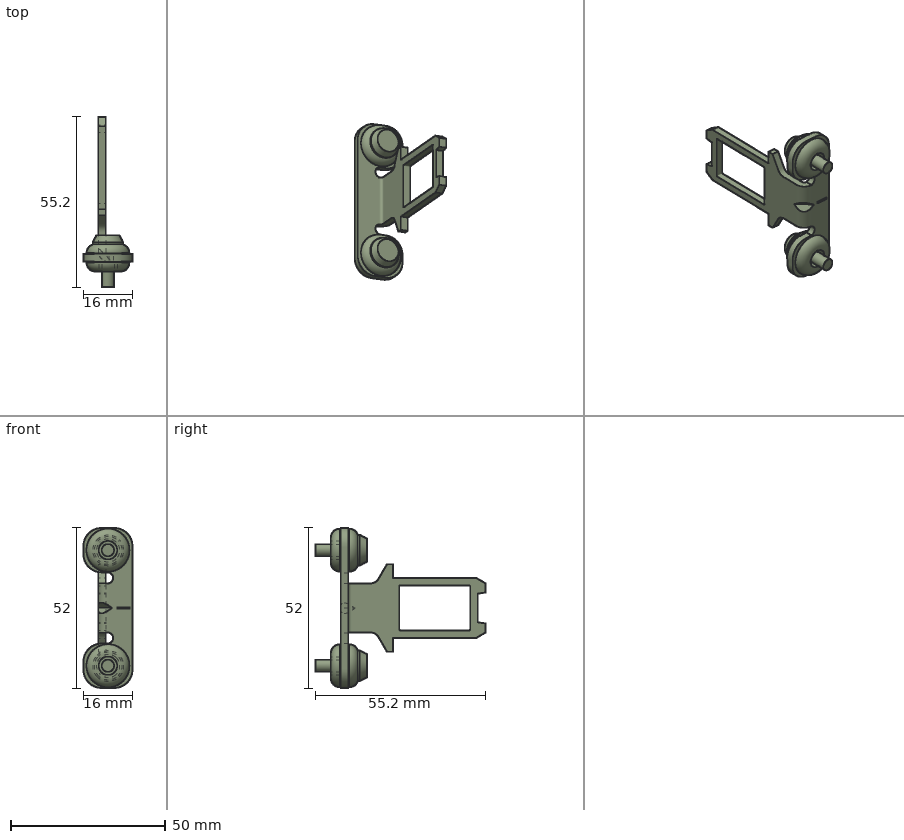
import cadquery as cq
import math

thickness = 2.5
bend_inner_radius = 1.0
bend_outer_radius = bend_inner_radius + thickness

plate_width = 16.0
plate_height = 52.0
lobe_height = 14.5
lobe_corner_radius = 6.0
lobe_z = (plate_height - lobe_height) / 2
lobe_inner_z = plate_height / 2 - lobe_height

arm_outer_x = -3.2
bend_center_x = arm_outer_x + bend_outer_radius
arm_root_half = 8.0
arm_frame_half = 9.75
shoulder_half = 14.25
shoulder_back_y = 17.0
shoulder_tip_y = 15.0
shoulder_slope = math.radians(60)
shoulder_root_y = shoulder_tip_y - (shoulder_half - arm_root_half) / math.tan(shoulder_slope)
shoulder_fillet = 3.0
arm_end_y = 47.0
end_chamfer_y = 44.0
end_chamfer_half = 8.0
end_notch_floor_y = 44.5
end_notch_mouth_half = 5.0
end_notch_floor_half = 4.6

window_start_y = 19.0
window_end_y = 42.0
window_half = 7.25
window_corner_radius = 0.3

notch_radius = (lobe_inner_z - arm_root_half) / 2
notch_reach_x = 1.65
notch_z = arm_root_half + notch_radius

groove_leg = 4.5
groove_angle = 90.0

mark_length = 4.0
mark_width = 0.5
mark_depth = 0.2
mark_center_x = 5.0

bulge_radius = 7.0
bulge_round = 3.0
grommet_gap = 0.25
neck_radius = 4.5
bulge_front_y = -grommet_gap - bulge_round
bulge_back_y = thickness + grommet_gap + bulge_round
collar_radius = 5.0
collar_length = 0.5
cone_end_radius = 3.75
cone_end_y = 8.6
bore_radius = 3.0
bore_floor_y = 0.0
pin_radius = 2.0
pin_length = 5.0
pin_tip_y = bulge_front_y - pin_length


def block(x_range, y_range, z_range):
    """Box given by its limits along each axis."""
    limits = (x_range, y_range, z_range)
    size = [high - low for low, high in limits]
    corner = tuple(low for low, high in limits)
    return cq.Workplane("XY").box(*size, centered=False).translate(corner)


def make_plate():
    """Two lobes joined by a straight web that carries the bend."""
    plate = block(
        (bend_center_x, plate_width / 2), (0, thickness), (-lobe_z, lobe_z)
    )
    for side in (-1, 1):
        lobe = (
            cq.Workplane("XY")
            .box(plate_width, thickness, lobe_height)
            .edges("|Y")
            .fillet(lobe_corner_radius)
            .translate((0, thickness / 2, side * lobe_z))
        )
        plate = plate.union(lobe)
    for side in (-1, 1):
        plate = plate.cut(make_relief_notch(side))
    return plate


def make_relief_notch(side):
    """Round-ended slot, open to the -X side."""
    center_x = notch_reach_x - notch_radius
    z = side * notch_z
    slot = block(
        (-plate_width / 2, center_x), (0, thickness), (z - notch_radius, z + notch_radius)
    )
    round_end = (
        cq.Workplane("XZ").center(center_x, z).circle(notch_radius).extrude(-thickness)
    )
    return slot.union(round_end)


def make_bend():
    """Quarter ring that turns the plate into the arm."""
    diagonal = math.sqrt(0.5)
    outer_mid = (
        bend_center_x - bend_outer_radius * diagonal,
        bend_outer_radius * (1 - diagonal),
    )
    inner_mid = (
        bend_center_x - bend_inner_radius * diagonal,
        bend_outer_radius - bend_inner_radius * diagonal,
    )
    return (
        cq.Workplane("XY")
        .workplane(offset=-arm_root_half)
        .moveTo(bend_center_x, 0)
        .threePointArc(outer_mid, (arm_outer_x, bend_outer_radius))
        .lineTo(arm_outer_x + thickness, bend_outer_radius)
        .threePointArc(inner_mid, (bend_center_x, thickness))
        .close()
        .extrude(2 * arm_root_half)
    )


def make_arm():
    """Flat arm with shoulders, a window and a notched, chamfered end."""
    upper_edge = [
        (bend_outer_radius, arm_root_half),
        (shoulder_root_y, arm_root_half),
        (shoulder_tip_y, shoulder_half),
        (shoulder_back_y, shoulder_half),
        (shoulder_back_y, arm_frame_half),
        (end_chamfer_y, arm_frame_half),
        (arm_end_y, end_chamfer_half),
        (arm_end_y, end_notch_mouth_half),
        (end_notch_floor_y, end_notch_floor_half),
    ]
    lower_edge = [(y, -z) for y, z in reversed(upper_edge)]
    arm = (
        cq.Workplane("YZ")
        .workplane(offset=arm_outer_x)
        .polyline(upper_edge + lower_edge)
        .close()
        .extrude(thickness)
    )
    arm_mid_x = arm_outer_x + thickness / 2
    for side in (-1, 1):
        root_corner = (arm_mid_x, shoulder_root_y, side * arm_root_half)
        arm = arm.edges(cq.NearestToPointSelector(root_corner)).fillet(shoulder_fillet)
    window = block(
        (arm_outer_x, arm_outer_x + thickness),
        (window_start_y, window_end_y),
        (-window_half, window_half),
    )
    return arm.cut(window.edges("|X").fillet(window_corner_radius))


def make_bend_groove():
    """V-shaped cutter whose floor runs diagonally across the outside of the bend."""
    depth = groove_leg * math.sqrt(0.5)
    half_width = depth * math.tan(math.radians(groove_angle / 2))
    length = 2 * groove_leg * math.sqrt(2)
    across_bend = cq.Plane(
        origin=(arm_outer_x, 0, 0), xDir=(1, 1, 0), normal=(1, -1, 0)
    )
    return (
        cq.Workplane(across_bend)
        .polyline([(depth, 0), (0, half_width), (0, -half_width)])
        .close()
        .extrude(length / 2, both=True)
    )


def make_index_mark():
    """Shallow line engraved in the front face of the plate."""
    return (
        cq.Workplane("XZ")
        .center(mark_center_x, 0)
        .rect(mark_length, mark_width)
        .extrude(-mark_depth)
    )


def make_grommet(z):
    """Turned grommet with a pin standing in its front bore, axis along Y."""
    rim_radius = bulge_radius - bulge_round
    front_rim_y = -grommet_gap
    back_rim_y = thickness + grommet_gap
    round_offset = bulge_round * math.sqrt(0.5)
    collar_start_y = back_rim_y + math.sqrt(bulge_round**2 - (collar_radius - rim_radius) ** 2)
    collar_end_y = bulge_back_y + collar_length
    back_mid_angle = math.asin((collar_start_y - back_rim_y) / bulge_round) / 2
    back_mid = (
        rim_radius + bulge_round * math.cos(back_mid_angle),
        back_rim_y + bulge_round * math.sin(back_mid_angle),
    )
    profile = (
        cq.Workplane("XY")
        .moveTo(0, pin_tip_y)
        .lineTo(pin_radius, pin_tip_y)
        .lineTo(pin_radius, bore_floor_y)
        .lineTo(bore_radius, bore_floor_y)
        .lineTo(bore_radius, bulge_front_y)
        .lineTo(rim_radius, bulge_front_y)
        .threePointArc(
            (rim_radius + round_offset, front_rim_y - round_offset),
            (bulge_radius, front_rim_y),
        )
        .lineTo(neck_radius, front_rim_y)
        .lineTo(neck_radius, back_rim_y)
        .lineTo(bulge_radius, back_rim_y)
        .threePointArc(back_mid, (collar_radius, collar_start_y))
        .lineTo(collar_radius, collar_end_y)
        .lineTo(cone_end_radius, cone_end_y)
        .lineTo(0, cone_end_y)
        .close()
    )
    return profile.revolve(360, (0, 0, 0), (0, 1, 0)).translate((0, 0, z))


def make_plate_bore(z):
    """Hole in the plate that the grommet neck and its bore sit in."""
    return cq.Workplane("XZ").center(0, z).circle(neck_radius).extrude(-thickness)


bracket = make_plate().union(make_bend()).union(make_arm())
bracket = bracket.cut(make_bend_groove()).cut(make_index_mark())
for grommet_z in (-lobe_z, lobe_z):
    bracket = bracket.cut(make_plate_bore(grommet_z)).union(make_grommet(grommet_z))
result = bracket